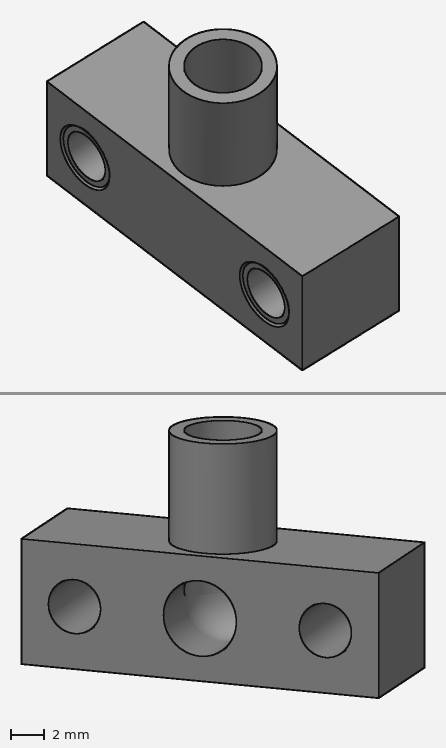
import cadquery as cq

body_length = 22.6
body_width = 7.7
body_height = 7.66
mid_height = body_height / 2

total_height = 14.4
spigot_diameter = 6.4

passage_diameter = 4.61

hole_spacing = 15.87
hole_diameter = 3.3
recess_diameter = 4.36
recess_floor_diameter = 4.1
recess_depth = 0.14


def make_body():
    return cq.Workplane("XY").box(body_length, body_width, body_height, centered=(True, True, False))


def make_spigot():
    spigot_height = total_height - body_height
    return cq.Workplane("XY").workplane(offset=body_height).circle(spigot_diameter / 2).extrude(spigot_height)


def make_passage():
    radius = passage_diameter / 2
    elbow = cq.Workplane("XY").sphere(radius)
    down_leg = cq.Workplane("XY").circle(radius).extrude(total_height - mid_height)
    side_leg = cq.Workplane("XZ").circle(radius).extrude(-body_width / 2)
    return elbow.union(down_leg).union(side_leg).translate((0, 0, mid_height))


def make_mounting_hole(x):
    front = cq.Workplane("XZ", origin=(x, -body_width / 2, mid_height))
    hole = front.circle(hole_diameter / 2).extrude(-body_width)
    recess = (
        front.circle(recess_diameter / 2)
        .workplane(offset=-recess_depth)
        .circle(recess_floor_diameter / 2)
        .loft()
    )
    return hole.union(recess)


result = make_body().union(make_spigot()).cut(make_passage())
for side in (-1, 1):
    result = result.cut(make_mounting_hole(side * hole_spacing / 2))